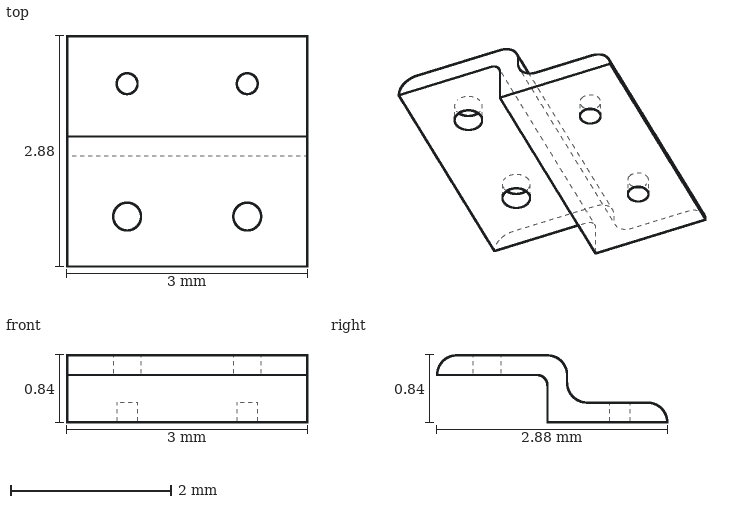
import cadquery as cq

length = 3.0
height = 0.84
thickness = 0.25
lower_depth = 1.5
upper_depth = 1.625
round_radius = thickness
inner_fillet = 0.125

hole_spacing = 1.5
small_hole_diameter = 0.258
small_hole_inset = 0.595
large_hole_diameter = 0.345
large_hole_inset = 0.625

depth = lower_depth + upper_depth - thickness
front = -depth / 2
rear = depth / 2
web_front = rear - lower_depth
web_rear = web_front + thickness
upper_bottom = height - thickness


def stepped_body():
    """Z-shaped profile in the YZ plane, extruded along X."""
    return (
        cq.Workplane("YZ")
        .moveTo(web_front, 0)
        .lineTo(rear, 0)
        .radiusArc((rear - round_radius, thickness), -round_radius)
        .lineTo(web_rear + round_radius, thickness)
        .radiusArc((web_rear, thickness + round_radius), round_radius)
        .lineTo(web_rear, height - round_radius)
        .radiusArc((web_rear - round_radius, height), -round_radius)
        .lineTo(front + round_radius, height)
        .radiusArc((front, upper_bottom), -round_radius)
        .lineTo(web_front - inner_fillet, upper_bottom)
        .radiusArc((web_front, upper_bottom - inner_fillet), inner_fillet)
        .close()
        .extrude(length / 2, both=True)
    )


def hole_pair(y, diameter):
    """Two vertical through-hole cutters, symmetric about the YZ plane."""
    return (
        cq.Workplane("XY")
        .pushPoints([(-hole_spacing / 2, y), (hole_spacing / 2, y)])
        .circle(diameter / 2)
        .extrude(height)
    )


result = (
    stepped_body()
    .cut(hole_pair(rear - small_hole_inset, small_hole_diameter))
    .cut(hole_pair(front + large_hole_inset, large_hole_diameter))
)